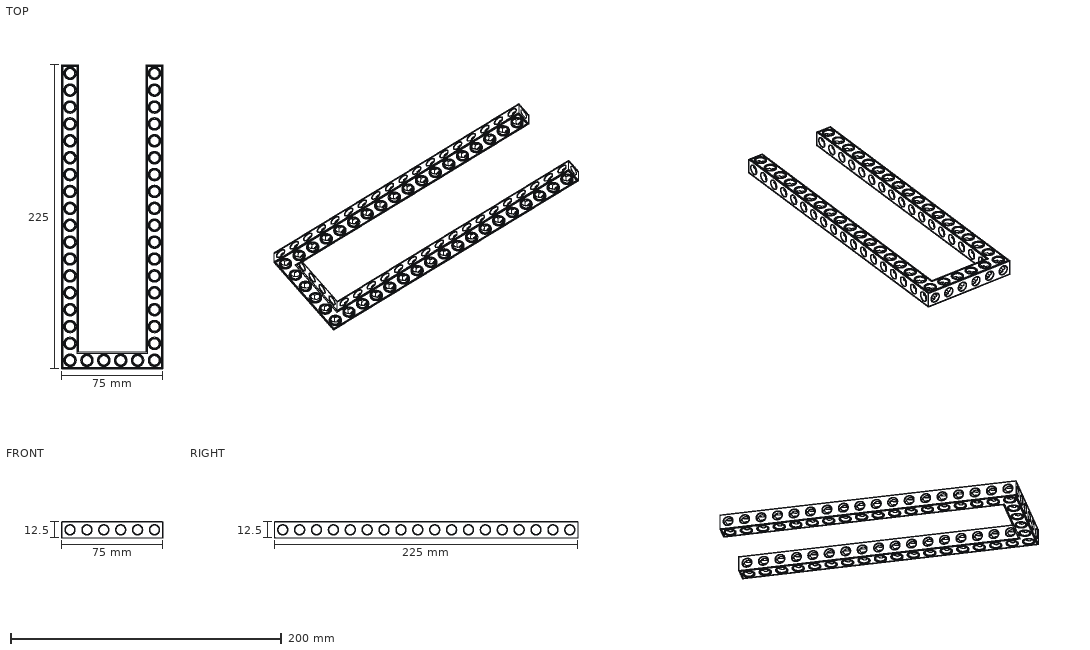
import cadquery as cq

length = 225.0
holes_per_arm = 18
holes_per_base = 6
bar = length / holes_per_arm
width = holes_per_base * bar
corner_chamfer = 0.2

step_count = 2
step_width = 0.55
step_height = 0.15

hole_diameter = 7.0
mouth_diameter = 7.6
rim_diameter = 9.2

middle = bar / 2
columns = [(i + 0.5) * bar for i in range(holes_per_base)]
rows = [(i + 0.5) * bar for i in range(holes_per_arm)]
vertical_centres = [(x, y) for x in (columns[0], columns[-1]) for y in rows]
vertical_centres += [(x, rows[0]) for x in columns[1:-1]]
row_centres = [(y, middle) for y in rows]
column_centres = [(x, middle) for x in columns]


def frame_layer(step):
    """Slab of the U outline, open toward +Y: each step is narrower and taller than the one before."""
    low = step * step_width
    high = bar - low
    far = width - low
    tip = length - low
    base_edge = high if step == step_count else bar
    outline = [
        (low, low),
        (far, low),
        (far, tip),
        (width - high, tip),
        (width - high, base_edge),
        (high, base_edge),
        (high, tip),
        (low, tip),
    ]
    floor = (step_count - step) * step_height
    return cq.Workplane("XY", (0, 0, floor)).polyline(outline).close().extrude(bar - 2 * floor)


def cylinders(plane, centres, diameter, start, end):
    """Cylinders on the given centres, between two offsets along the plane's normal."""
    return (
        cq.Workplane(plane).workplane(offset=start)
        .pushPoints(centres).circle(diameter / 2).extrude(end - start)
    )


def cut_holes(body, plane, centres, start, end, step_diameters):
    """Cut holes between two faces, with steps at both mouths listed from the innermost out."""
    body = body.cut(cylinders(plane, centres, hole_diameter, start, end))
    for index, diameter in enumerate(step_diameters):
        depth = (len(step_diameters) - index) * step_height
        body = body.cut(cylinders(plane, centres, diameter, start, start + depth))
        body = body.cut(cylinders(plane, centres, diameter, end - depth, end))
    return body


result = frame_layer(0)
for step in range(1, step_count + 1):
    result = result.union(frame_layer(step))
result = result.edges("|Z and <Y").chamfer(corner_chamfer)

result = cut_holes(result, "XY", vertical_centres, 0, bar, [mouth_diameter, rim_diameter])

result = result.cut(cylinders("YZ", row_centres[:1], hole_diameter, 0, width))
for start in (0, width - bar):
    result = cut_holes(result, "YZ", row_centres, start, start + bar, [mouth_diameter])

outer_centres = [column_centres[0], column_centres[-1]]
result = result.cut(cylinders("XZ", outer_centres, hole_diameter, -length, 0))
result = cut_holes(result, "XZ", column_centres, -bar, 0, [mouth_diameter])